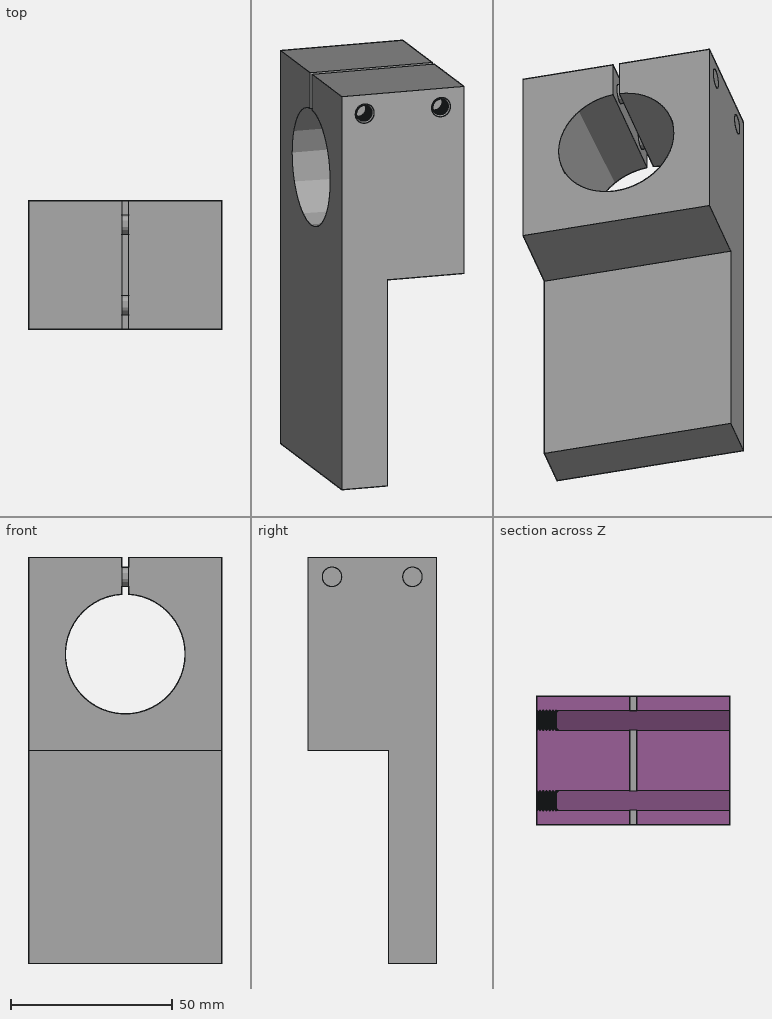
import cadquery as cq

block_side = 60.0
block_depth = 40.0
total_height = 126.0
bore_diameter = 37.0
slot_width = 2.0

plate_thickness = 15.0

screw_diameter = 6.0
screw_tip_diameter = 4.7
screw_spacing = 25.0
screw_drop = 6.0

thread_minor_diameter = 5.0
thread_major_diameter = 6.2
thread_pitch = 1.0
thread_turns = 6
groove_floor = 0.1
thread_crest = 0.3

left_face = -block_side / 2
back_face = block_depth / 2
block_bottom = total_height - block_side
bore_height = total_height - block_side / 2
screw_height = total_height - screw_drop
screw_positions = [-screw_spacing / 2, screw_spacing / 2]
screw_tip = left_face + thread_turns * thread_pitch


def make_screw_blank(y):
    """Cylinder along X from the screw tip to the right face."""
    return (
        cq.Workplane("YZ", origin=(screw_tip, y, screw_height))
        .circle(screw_diameter / 2)
        .extrude(block_side / 2 - screw_tip)
    )


def make_thread_cutter(y):
    """Core with ring grooves one pitch apart, each with sloped flanks and a flat floor."""
    minor_radius = thread_minor_diameter / 2
    major_radius = thread_major_diameter / 2
    flank_width = (thread_pitch - groove_floor - thread_crest) / 2
    profile = cq.Workplane("XY").lineTo(0, major_radius)
    for turn in range(thread_turns):
        floor_end = turn * thread_pitch + groove_floor
        crest_start = floor_end + flank_width
        crest_end = crest_start + thread_crest
        profile = (
            profile.lineTo(floor_end, major_radius)
            .lineTo(crest_start, minor_radius)
            .lineTo(crest_end, minor_radius)
            .lineTo(crest_end + flank_width, major_radius)
        )
    profile = profile.lineTo(thread_turns * thread_pitch, 0).close()
    cutter = profile.revolve(360, (0, 0, 0), (1, 0, 0))
    return cutter.translate((left_face, y, screw_height))


def make_housing():
    """L-shaped clamp with the bore, the clamping slot and the screw holes."""
    block = cq.Workplane("XY").box(
        block_side, block_depth, block_side, centered=(True, True, False)
    ).translate((0, 0, block_bottom))
    plate = cq.Workplane("XY").box(
        block_side, plate_thickness, block_bottom, centered=(True, True, False)
    ).translate((0, back_face - plate_thickness / 2, 0))
    bore = (
        cq.Workplane("XZ", origin=(0, back_face, bore_height))
        .circle(bore_diameter / 2)
        .extrude(block_depth)
    )
    slot = cq.Workplane("XY").box(
        slot_width, block_depth, total_height - bore_height, centered=(True, True, False)
    ).translate((0, 0, bore_height))
    housing = block.union(plate).cut(bore).cut(slot)
    for y in screw_positions:
        housing = housing.cut(make_screw_blank(y))
        housing = housing.cut(make_thread_cutter(y))
    return housing


def make_screw(y):
    """Clamping screw with a chamfered tip at the inner end of the open thread."""
    tip_chamfer = (screw_diameter - screw_tip_diameter) / 2
    return make_screw_blank(y).faces("<X").chamfer(tip_chamfer)


housing = make_housing()
screws = [make_screw(y) for y in screw_positions]

result = cq.Compound.makeCompound([housing.val(), *[screw.val() for screw in screws]])